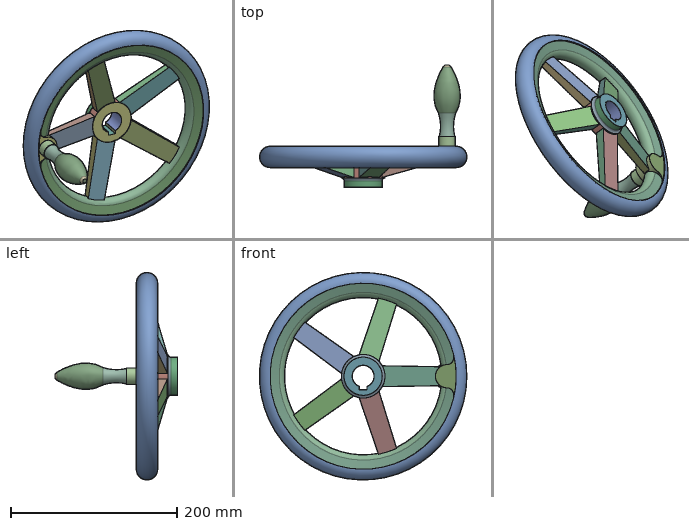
import cadquery as cq
import math


outer_radius = 125.0
rim_face_radius = 112.0
rim_half_width = outer_radius - rim_face_radius
rim_inner_radius = 94.5
bead_radius = 8.8
taper_angle = math.radians(15)

hub_front = -36.8
hub_nose_radius = 23.0
hub_body_radius = 26.2
hub_fillet_radius = hub_body_radius - hub_nose_radius
hub_body_front = -25.5
hub_back = -11.2
bore_diameter = 26.0
key_width = 9.0
key_floor_radius = 16.2

spoke_count = 5
spoke_root_width = 25.5
spoke_tip_width = 23.0
spoke_root = 17.5
spoke_tip = 98.8
spoke_root_front = -26.2
spoke_slope = 0.28
spoke_root_depth = 12.5
spoke_tip_depth = 8.5

handle_offset = 101.0
boss_radius = 14.0
boss_flare_radius = 7.8
boss_half_width = 11.8
sleeve_radius = 10.0
neck_start_radius = 9.5
sleeve_end = 24.5
neck_radius = 8.0
neck_y = 36.2
grip_start_radius = 10.5
grip_start = 52.8
grip_radius = 16.0
grip_middle = 75.2
grip_shoulder_radius = 13.0
grip_shoulder = 91.0
grip_end_radius = 5.0
grip_end = 108.2
tip_radius = 2.5
handle_tip = 110.8


def revolve_about_y(profile):
    return profile.close().revolve(360, (0, 0, 0), (0, 1, 0))


def extrude_along_y(outline, start, end):
    """Extrude a closed XZ outline from Y = start to Y = end."""
    return outline.extrude(start - end).translate((0, start, 0))


def make_rim():
    bead_centre = rim_inner_radius + bead_radius
    taper_start_radius = bead_centre - bead_radius * math.sin(taper_angle)
    taper_start_y = bead_radius * math.cos(taper_angle)
    taper_end_y = taper_start_y + (rim_face_radius - taper_start_radius) * math.tan(taper_angle)
    profile = (
        cq.Workplane("XY")
        .moveTo(rim_face_radius, -rim_half_width)
        .threePointArc((outer_radius, 0), (rim_face_radius, rim_half_width))
        .lineTo(rim_face_radius, taper_end_y)
        .lineTo(taper_start_radius, taper_start_y)
        .threePointArc((rim_inner_radius, 0), (taper_start_radius, -taper_start_y))
        .lineTo(rim_face_radius, -taper_end_y)
    )
    return revolve_about_y(profile)


def make_hub():
    fillet_end = hub_body_front - hub_fillet_radius
    fillet_drop = hub_fillet_radius * (1 - math.sqrt(0.5))
    profile = (
        cq.Workplane("XY")
        .moveTo(0, hub_front)
        .lineTo(hub_nose_radius, hub_front)
        .lineTo(hub_nose_radius, fillet_end)
        .threePointArc(
            (hub_nose_radius + fillet_drop, hub_body_front - fillet_drop),
            (hub_body_radius, hub_body_front),
        )
        .lineTo(hub_body_radius, hub_back)
        .lineTo(0, hub_back)
    )
    return revolve_about_y(profile)


def make_spoke():
    """One spoke along +X, tapered in width and leaning back towards the rim."""
    tip_front = spoke_root_front + spoke_slope * (spoke_tip - spoke_root)
    side = (
        cq.Workplane("XY")
        .moveTo(spoke_root, spoke_root_front)
        .lineTo(spoke_tip, tip_front)
        .lineTo(spoke_tip, tip_front + spoke_tip_depth)
        .lineTo(spoke_root, spoke_root_front + spoke_root_depth)
        .close()
        .extrude(spoke_root_width, both=True)
    )
    plan = (
        cq.Workplane("XZ")
        .moveTo(spoke_root, -spoke_root_width / 2)
        .lineTo(spoke_tip, -spoke_tip_width / 2)
        .lineTo(spoke_tip, spoke_tip_width / 2)
        .lineTo(spoke_root, spoke_root_width / 2)
        .close()
    )
    return side.intersect(extrude_along_y(plan, hub_front, rim_half_width))


def make_handle_boss():
    """A round-ended boss through the rim, flaring out where it meets the rim face."""
    flare_x = handle_offset + boss_flare_radius
    flare_z = boss_radius + boss_flare_radius
    rim_z = math.sqrt(rim_face_radius**2 - flare_x**2)
    middle_x = handle_offset + boss_flare_radius * math.sqrt(0.5)
    middle_z = flare_z - boss_flare_radius * math.sqrt(0.5)
    outline = (
        cq.Workplane("XZ")
        .moveTo(handle_offset, -boss_radius)
        .threePointArc((handle_offset - boss_radius, 0), (handle_offset, boss_radius))
        .threePointArc((middle_x, middle_z), (flare_x, flare_z))
        .lineTo(flare_x, rim_z)
        .threePointArc((rim_face_radius, 0), (flare_x, -rim_z))
        .lineTo(flare_x, -flare_z)
        .threePointArc((middle_x, -middle_z), (handle_offset, -boss_radius))
        .close()
    )
    return extrude_along_y(outline, -boss_half_width, boss_half_width)


def make_handle():
    profile = (
        cq.Workplane("XY")
        .lineTo(sleeve_radius, 0)
        .lineTo(sleeve_radius, sleeve_end)
        .lineTo(neck_start_radius, sleeve_end)
        .threePointArc((neck_radius, neck_y), (grip_start_radius, grip_start))
        .spline(
            [
                (grip_radius, grip_middle),
                (grip_shoulder_radius, grip_shoulder),
                (grip_end_radius, grip_end),
            ],
            includeCurrent=True,
        )
        .lineTo(tip_radius, handle_tip)
        .lineTo(0, handle_tip)
    )
    return revolve_about_y(profile).translate((handle_offset, 0, 0))


def make_bore():
    """Through bore with a keyway on the -Z side."""
    bore = extrude_along_y(cq.Workplane("XZ").circle(bore_diameter / 2), hub_front, hub_back)
    key = cq.Workplane("XZ").center(0, -key_floor_radius / 2).rect(key_width, key_floor_radius)
    return bore.union(extrude_along_y(key, hub_front, hub_back))


result = make_rim().union(make_hub())
for index in range(spoke_count):
    angle = index * 360 / spoke_count
    result = result.union(make_spoke().rotate((0, 0, 0), (0, 1, 0), angle))
result = result.union(make_handle_boss()).union(make_handle()).cut(make_bore())